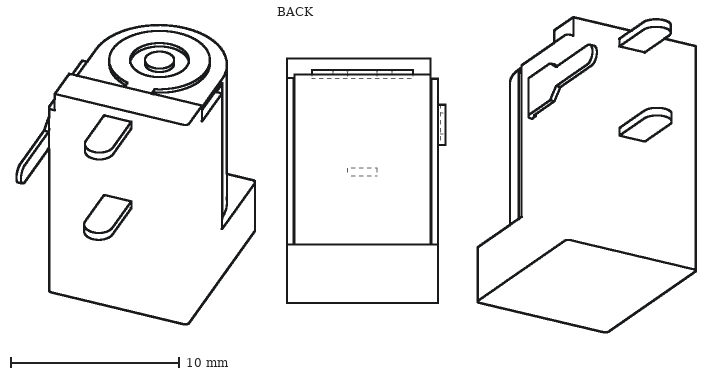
import cadquery as cq
import math


width = 9.0
depth = 10.7
height = 14.55
axis_to_back = 4.2
corner_radius = 0.25
back = axis_to_back
front = back - depth
left = -width / 2
right = width / 2

barrel_radius = 4.05
barrel_back_gap = 0.25
filler_half_width = 4.1
barrel_centre_y = back - barrel_back_gap - barrel_radius
base_height = 3.5
barrel_top = 13.6
left_wall_top = 13.35
right_wall_top = 13.4
wall_back = front + 5.35
bar_back = front + 2.25

lug_width = 1.75
lug_reach = 3.8
lug_thickness = 0.5
lower_lug_top = 8.05

plate_diameter = 6.0
plate_bottom = barrel_top - lug_thickness / 2
groove_diameter = 3.5
groove_depth = 0.25
pin_diameter = 1.75
centre_lug_reach = 3.7

strip_thickness = 0.3
strip_gap = 0.15
strip_back = back - 6.6
bend_radius = strip_thickness + strip_gap
foot_thickness = 0.5
blade_bottom = 9.4
blade_top = 11.8
blade_front = front + 1.2
neck_back = front + 0.5
tail_bottom = 10.05
tail_top = 11.3
strip_tip = front - lug_reach


def block(x_min, x_max, y_min, y_max, z_min, z_max):
    size = (x_max - x_min, y_max - y_min, z_max - z_min)
    return cq.Workplane("XY").box(*size, centered=False).translate((x_min, y_min, z_min))


def tongue(y_start, reach, z_bottom):
    """Flat lug along -Y with a full-round tip, ending at `reach` ahead of the housing front."""
    half = lug_width / 2
    tip = front - reach
    return (
        cq.Workplane("XY", origin=(0, 0, z_bottom))
        .moveTo(-half, y_start)
        .lineTo(-half, tip + half)
        .threePointArc((0, tip), (half, tip + half))
        .lineTo(half, y_start)
        .close()
        .extrude(lug_thickness)
    )


def centre_terminal_blank():
    """Plate and lug without the groove; also the shape of the housing recess."""
    plate = (
        cq.Workplane("XY", origin=(0, 0, plate_bottom))
        .circle(plate_diameter / 2)
        .extrude(lug_thickness)
    )
    return plate.union(tongue(0, centre_lug_reach, plate_bottom))


def make_housing():
    rounded_block = block(left, right, front, back, 0, height).edges("|Z").fillet(corner_radius)

    envelope = (
        block(left, right, front, back, 0, base_height)
        .union(block(left, 0, front, wall_back, 0, left_wall_top))
        .union(block(0, right, front, wall_back, 0, right_wall_top))
        .union(block(-filler_half_width, filler_half_width, front, barrel_centre_y, 0, left_wall_top))
        .union(block(-barrel_radius, right, front, bar_back, 0, height))
    )
    body = rounded_block.intersect(envelope)

    barrel = (
        cq.Workplane("XY")
        .moveTo(-barrel_radius, bar_back)
        .lineTo(-barrel_radius, barrel_centre_y)
        .threePointArc((0, barrel_centre_y + barrel_radius), (barrel_radius, barrel_centre_y))
        .lineTo(barrel_radius, bar_back)
        .close()
        .extrude(barrel_top)
    )
    lower_lug = tongue(0, lug_reach, lower_lug_top - lug_thickness)
    return body.union(barrel).union(lower_lug).cut(centre_terminal_blank())


def make_centre_terminal():
    groove = (
        cq.Workplane("XY", origin=(0, 0, plate_bottom + lug_thickness - groove_depth))
        .circle(groove_diameter / 2)
        .circle(pin_diameter / 2)
        .extrude(groove_depth)
    )
    return centre_terminal_blank().cut(groove)


def make_side_terminal():
    outer = left - bend_radius
    inner = outer + strip_thickness
    foot_front = strip_back - foot_thickness
    bend_mid = bend_radius * math.sqrt(0.5)
    leg = (
        cq.Workplane("XY", origin=(0, 0, blade_bottom))
        .moveTo(left, strip_back)
        .threePointArc(
            (left - bend_mid, strip_back - bend_radius + bend_mid),
            (outer, strip_back - bend_radius),
        )
        .lineTo(outer, strip_tip)
        .lineTo(inner, strip_tip)
        .lineTo(inner, foot_front)
        .lineTo(left, foot_front)
        .close()
        .extrude(blade_top - blade_bottom)
    )

    tail_radius = (tail_top - tail_bottom) / 2
    outline = (
        cq.Workplane("YZ", origin=(outer, 0, 0))
        .moveTo(strip_back, blade_bottom)
        .lineTo(blade_front, blade_bottom)
        .lineTo(neck_back, tail_bottom)
        .lineTo(strip_tip + tail_radius, tail_bottom)
        .threePointArc(
            (strip_tip, tail_bottom + tail_radius),
            (strip_tip + tail_radius, tail_top),
        )
        .lineTo(neck_back, tail_top)
        .lineTo(blade_front, blade_top)
        .lineTo(strip_back, blade_top)
        .close()
        .extrude(bend_radius)
    )
    return leg.intersect(outline)


housing = make_housing()
centre_terminal = make_centre_terminal()
side_terminal = make_side_terminal()

result = cq.Compound.makeCompound([housing.val(), centre_terminal.val(), side_terminal.val()])